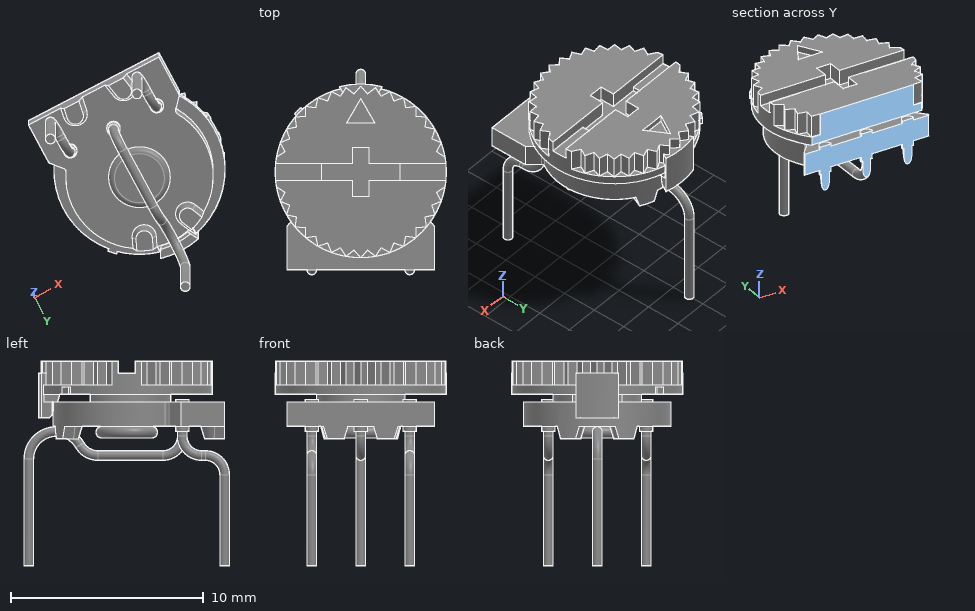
import cadquery as cq
import math


BASE_RADIUS = 3.83
BASE_THICKNESS = 1.27
BASE_FRONT_Y = -5.08
SHOULDER_Y = -2.81
WAIST_X = 3.2
WAIST_Y = -2.09
WAIST_FILLET = 0.16

FOOT_HEIGHT = 0.65
FOOT_RADIUS = 0.625
FOOT_TAPER = 17.0
FOOT_STRAIGHT = 0.63
FOOT_OVERRUN = 1.0
FRONT_FOOT_X = 1.30
FRONT_FOOT_TURN = 10.0
REAR_FOOT_ANGLE = 23.5

EYELET_RADIUS = 1.6
EYELET_HEIGHT = 0.61
NECK_RADIUS = 2.3
NECK_FLAT_Y = 1.9

DIAL_RADIUS = 4.445
DIAL_BOTTOM = 1.66
FLANGE_TOP = 2.15
DIAL_TOP = 3.38
TOOTH_PITCH = 10
TOOTH_ROOT_RADIUS = 4.07
PLAIN_HALF_ANGLE = 10

SLOT_WIDTH = 0.86
SLOT_DEPTH = 0.62
CROSS_DEPTH = 0.87
CROSS_LENGTH_X = 4.06
CROSS_LENGTH_Y = 2.54
ARROW_TIP_Y = 3.81
ARROW_BASE_Y = 2.54
ARROW_HALF_WIDTH = 0.735
ARROW_DEPTH = 0.38

RIM_RADIUS = 4.57
TAB_INNER_RADIUS = 3.95
TAB_HALF_WIDTH = 1.114
TAB_SIDE_ANGLE = 30.0
TAB_BOTTOM = 0.44
TAB_TOP = DIAL_TOP - SLOT_DEPTH
TAB_BEVEL = 0.15
WEB_HALF_WIDTH = 1.04
WEB_OUTER_Y = 4.30
WEB_TOP_Y = 3.47
WEB_BOTTOM_Y = 3.58
LUG_ANGLE = 135.8
LUG_WIDTH = 0.47
LUG_TOP = 2.03

WIRE_RADIUS = 0.254
PIN_X = 2.54
PIN_Y = 5.08
PIN_BOTTOM = -7.24
PIN_ROOT_Y = -2.88
COLLAR_RADIUS = 0.35
COLLAR_HEIGHT = 0.26
HEAD_HEIGHT = 0.13
BEND_START_Z = -0.515
BEND_RADIUS = 1.0
REAR_BEND_RADIUS = 1.42
REAR_BEND_START_Z = -1.69
REAR_BEND_ANGLE = 60.0


def polar(radius, degrees):
    angle = math.radians(degrees)
    return (radius * math.cos(angle), radius * math.sin(angle))


def cylinder(radius, bottom, top, x=0, y=0):
    return cq.Workplane("XY", origin=(x, y, bottom)).circle(radius).extrude(top - bottom)


def make_base(bottom, top):
    """Round plate with a square front end and bevelled shoulders."""
    front = (
        cq.Workplane("XY", origin=(0, 0, bottom))
        .moveTo(-BASE_RADIUS, BASE_FRONT_Y)
        .lineTo(BASE_RADIUS, BASE_FRONT_Y)
        .lineTo(BASE_RADIUS, SHOULDER_Y)
        .lineTo(WAIST_X, WAIST_Y)
        .lineTo(-WAIST_X, WAIST_Y)
        .lineTo(-BASE_RADIUS, SHOULDER_Y)
        .close()
        .extrude(top - bottom)
    )
    plate = cylinder(BASE_RADIUS, bottom, top).union(front)
    for side in (-1, 1):
        waist = cq.selectors.NearestToPointSelector((side * WAIST_X, WAIST_Y, (bottom + top) / 2))
        plate = plate.edges("|Z").edges(waist).fillet(WAIST_FILLET)
    return plate


def make_foot(center, outward):
    """Tapered foot, rounded at its centre end and running outward past the base edge."""
    run = FOOT_STRAIGHT + FOOT_OVERRUN
    return (
        cq.Workplane("XY")
        .moveTo(run, FOOT_RADIUS)
        .lineTo(0, FOOT_RADIUS)
        .threePointArc((-FOOT_RADIUS, 0), (0, -FOOT_RADIUS))
        .lineTo(run, -FOOT_RADIUS)
        .close()
        .extrude(-FOOT_HEIGHT, taper=FOOT_TAPER)
        .rotate((0, 0, 0), (0, 0, 1), outward)
        .translate((center[0], center[1], 0))
    )


def make_feet():
    """Four feet, trimmed flush with the outline of the base."""
    trim = make_base(-FOOT_HEIGHT, 0)
    turn = math.radians(FRONT_FOOT_TURN)
    front_center = (
        FRONT_FOOT_X + FOOT_STRAIGHT * math.sin(turn),
        BASE_FRONT_Y + FOOT_STRAIGHT * math.cos(turn),
    )
    rear_angle = 90 - REAR_FOOT_ANGLE
    rear_center = polar(BASE_RADIUS - FOOT_STRAIGHT, rear_angle)
    pair = make_foot(front_center, -90 - FRONT_FOOT_TURN).union(make_foot(rear_center, rear_angle))
    return pair.union(pair.mirror("YZ")).intersect(trim)


def make_eyelet():
    """Disc with a fully rounded rim under the base."""
    rim = EYELET_HEIGHT / 2
    flat_radius = EYELET_RADIUS - rim
    return (
        cq.Workplane("XZ")
        .lineTo(flat_radius, 0)
        .threePointArc((EYELET_RADIUS, -rim), (flat_radius, -EYELET_HEIGHT))
        .lineTo(0, -EYELET_HEIGHT)
        .close()
        .revolve(360, (0, 0, 0), (0, 1, 0))
    )


def make_neck():
    """Round neck with a flat at the back."""
    neck = cylinder(NECK_RADIUS, BASE_THICKNESS, DIAL_BOTTOM)
    keep = cq.Workplane("XY").box(
        2 * NECK_RADIUS, NECK_RADIUS + NECK_FLAT_Y, DIAL_BOTTOM, centered=(True, False, False)
    )
    return neck.intersect(keep.translate((0, -NECK_RADIUS, 0)))


def make_knurl():
    """Toothed disc with a plain arc at each end of the slot."""
    outline = cq.Workplane("XY", origin=(0, 0, FLANGE_TOP)).moveTo(*polar(DIAL_RADIUS, -PLAIN_HALF_ANGLE))
    for middle in (0, 180):
        first_tooth = middle + PLAIN_HALF_ANGLE
        last_tooth = middle + 180 - PLAIN_HALF_ANGLE
        outline = outline.threePointArc(polar(DIAL_RADIUS, middle), polar(DIAL_RADIUS, first_tooth))
        for tooth in range(first_tooth, last_tooth, TOOTH_PITCH):
            outline = outline.lineTo(*polar(TOOTH_ROOT_RADIUS, tooth + TOOTH_PITCH / 2))
            outline = outline.lineTo(*polar(DIAL_RADIUS, tooth + TOOTH_PITCH))
    return outline.close().extrude(DIAL_TOP - FLANGE_TOP)


def cut_recesses(knurl):
    """Screwdriver slot with a deeper central cross, and the arrow pocket."""
    top = cq.Workplane("XY", origin=(0, 0, DIAL_TOP))
    slot = top.rect(3 * DIAL_RADIUS, SLOT_WIDTH).extrude(-SLOT_DEPTH)
    cross_x = top.rect(CROSS_LENGTH_X, SLOT_WIDTH).extrude(-CROSS_DEPTH)
    cross_y = top.rect(SLOT_WIDTH, CROSS_LENGTH_Y).extrude(-CROSS_DEPTH)
    arrow = (
        top.moveTo(0, ARROW_TIP_Y)
        .lineTo(-ARROW_HALF_WIDTH, ARROW_BASE_Y)
        .lineTo(ARROW_HALF_WIDTH, ARROW_BASE_Y)
        .close()
        .extrude(-ARROW_DEPTH)
    )
    return knurl.cut(slot).cut(cross_x).cut(cross_y).cut(arrow)


def make_stop_tab():
    """Curved tab behind the dial with converging sides and a bevelled inner bottom edge."""
    slope = math.tan(math.radians(TAB_SIDE_ANGLE))
    outer_y = math.sqrt(RIM_RADIUS**2 - TAB_HALF_WIDTH**2)
    apex_y = outer_y - TAB_HALF_WIDTH / slope
    wedge_length = 2 * (RIM_RADIUS - apex_y)
    wedge = (
        cq.Workplane("XY", origin=(0, apex_y, TAB_BOTTOM))
        .lineTo(wedge_length * slope, wedge_length)
        .lineTo(-wedge_length * slope, wedge_length)
        .close()
        .extrude(TAB_TOP - TAB_BOTTOM)
    )
    tab = cylinder(RIM_RADIUS, TAB_BOTTOM, TAB_TOP).intersect(wedge)
    tab = tab.cut(cylinder(TAB_INNER_RADIUS, TAB_BOTTOM, TAB_TOP))
    inner_edge = cq.selectors.NearestToPointSelector((0, TAB_INNER_RADIUS, TAB_BOTTOM))
    return tab.edges(inner_edge).chamfer(TAB_BEVEL)


def make_web():
    """Block under the dial that carries the stop tab."""
    return (
        cq.Workplane("YZ", origin=(-WEB_HALF_WIDTH, 0, 0))
        .moveTo(WEB_OUTER_Y, BASE_THICKNESS)
        .lineTo(WEB_OUTER_Y, DIAL_BOTTOM)
        .lineTo(WEB_TOP_Y, DIAL_BOTTOM)
        .lineTo(WEB_BOTTOM_Y, BASE_THICKNESS)
        .close()
        .extrude(2 * WEB_HALF_WIDTH)
    )


def make_lug():
    """Small lug on the flange rim."""
    return (
        cq.Workplane("XY")
        .box(RIM_RADIUS - TOOTH_ROOT_RADIUS, LUG_WIDTH, LUG_TOP - DIAL_BOTTOM, centered=(False, True, False))
        .translate((TOOTH_ROOT_RADIUS, 0, DIAL_BOTTOM))
        .rotate((0, 0, 0), (0, 0, 1), LUG_ANGLE)
    )


def make_dial():
    dial = cylinder(DIAL_RADIUS, DIAL_BOTTOM, FLANGE_TOP)
    for piece in (make_stop_tab(), make_lug(), make_web(), cut_recesses(make_knurl())):
        dial = dial.union(piece)
    return dial


def arc_by_angles(path, center, radius, start, end):
    """Append an arc to a path, from one angle about its centre to another."""
    points = []
    for degrees in ((start + end) / 2, end):
        dy, dz = polar(radius, degrees)
        points.append((center[0] + dy, center[1] + dz))
    return path.threePointArc(*points)


def sweep_wire(path, x):
    """Sweep the round wire along a path that starts at the pin root and runs down."""
    section = cq.Workplane("XY", origin=(x, PIN_ROOT_Y, 0)).circle(WIRE_RADIUS)
    return section.sweep(path)


def start_pin_path(x):
    return cq.Workplane("YZ", origin=(x, 0, 0)).moveTo(PIN_ROOT_Y, 0).lineTo(PIN_ROOT_Y, BEND_START_Z)


def make_pin_fittings(x):
    """Collar below the base and head above it, around the pin root."""
    collar = cylinder(COLLAR_RADIUS, -COLLAR_HEIGHT, 0, x, PIN_ROOT_Y)
    head = cylinder(COLLAR_RADIUS, BASE_THICKNESS, BASE_THICKNESS + HEAD_HEIGHT, x, PIN_ROOT_Y)
    return collar.union(head)


def make_front_pin(x):
    """Pin that steps forward through two quarter bends, then drops straight."""
    lower_bend_y = -PIN_Y + BEND_RADIUS
    lower_bend_z = BEND_START_Z - 2 * BEND_RADIUS
    path = start_pin_path(x)
    path = arc_by_angles(path, (PIN_ROOT_Y - BEND_RADIUS, BEND_START_Z), BEND_RADIUS, 0, -90)
    path = path.lineTo(lower_bend_y, BEND_START_Z - BEND_RADIUS)
    path = arc_by_angles(path, (lower_bend_y, lower_bend_z), BEND_RADIUS, 90, 180)
    path = path.lineTo(-PIN_Y, PIN_BOTTOM)
    return sweep_wire(path, x).union(make_pin_fittings(x))


def make_rear_pin():
    """Pin that runs back under the eyelet, humps up, then drops behind the dial."""
    hump_center = (PIN_Y - REAR_BEND_RADIUS, REAR_BEND_START_Z)
    hump_foot_dy, hump_foot_dz = polar(REAR_BEND_RADIUS, 90 + REAR_BEND_ANGLE)
    hump_foot_y = hump_center[0] + hump_foot_dy
    hump_foot_z = hump_center[1] + hump_foot_dz
    run_z = BEND_START_Z - BEND_RADIUS
    turn = math.radians(REAR_BEND_ANGLE)
    rise_radius = (hump_foot_z - run_z) / (1 - math.cos(turn))
    run_end_y = hump_foot_y - rise_radius * math.sin(turn)

    path = start_pin_path(0)
    path = arc_by_angles(path, (PIN_ROOT_Y + BEND_RADIUS, BEND_START_Z), BEND_RADIUS, 180, 270)
    path = path.lineTo(run_end_y, run_z)
    path = arc_by_angles(path, (run_end_y, run_z + rise_radius), rise_radius, -90, REAR_BEND_ANGLE - 90)
    path = arc_by_angles(path, hump_center, REAR_BEND_RADIUS, 90 + REAR_BEND_ANGLE, 0)
    path = path.lineTo(PIN_Y, PIN_BOTTOM)
    return sweep_wire(path, 0).union(make_pin_fittings(0))


result = make_base(0, BASE_THICKNESS)
result = result.union(make_feet())
result = result.union(make_eyelet())
result = result.union(make_neck())
result = result.union(make_dial())
result = result.union(make_rear_pin())
for side in (-1, 1):
    result = result.union(make_front_pin(side * PIN_X))